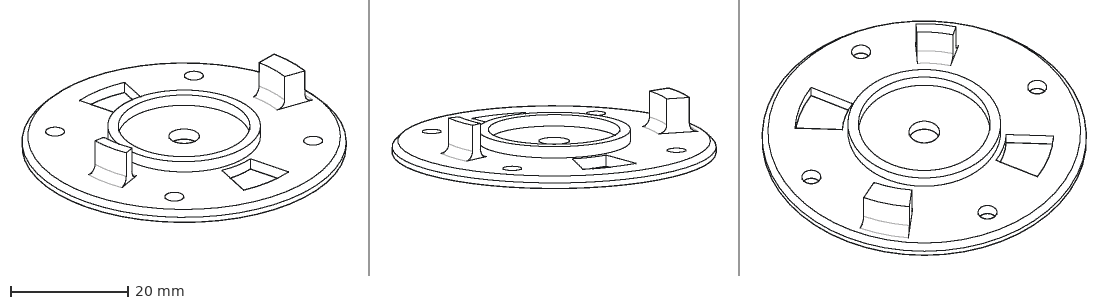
import cadquery as cq
import math

plate_diameter = 55.2
plate_thickness = 2.0
edge_chamfer = 1.0
overall_height = 8.0

ring_outer_diameter = 26.0
ring_inner_diameter = 22.4
ring_height = plate_thickness
bore_diameter = 5.2

screw_hole_diameter = 3.2
screw_circle_radius = 22.0
screw_hole_count = 4
first_screw_angle = 45.0

window_inner_radius = 13.95
window_outer_radius = screw_circle_radius
window_angle = 26.5

tab_split_radius = 20.0
wide_tab_outer_radius = 24.0
narrow_tab_inner_radius = 18.0
wide_tab_angle = 19.3
narrow_tab_angle = 19.8
tab_height = overall_height - plate_thickness
tab_root_fillet = 1.5

PLUS_Y_ANGLE = 90.0
MINUS_Y_ANGLE = 270.0


def polar(radius, angle):
    """Point in the XY plane at an angle in degrees from +X."""
    return (radius * math.cos(math.radians(angle)), radius * math.sin(math.radians(angle)))


def ring_sector(inner_radius, outer_radius, start_angle, sweep, height):
    """Prism over a sector of a ring, standing on Z = 0."""
    middle_angle = start_angle + sweep / 2
    end_angle = start_angle + sweep
    return (
        cq.Workplane("XY")
        .moveTo(*polar(inner_radius, start_angle))
        .lineTo(*polar(outer_radius, start_angle))
        .threePointArc(polar(outer_radius, middle_angle), polar(outer_radius, end_angle))
        .lineTo(*polar(inner_radius, end_angle))
        .threePointArc(polar(inner_radius, middle_angle), polar(inner_radius, start_angle))
        .close()
        .extrude(height)
    )


def tab(inner_radius, outer_radius, start_angle, sweep):
    """Curved upright with concave root fillets on its inner and outer faces."""
    foot_inner = inner_radius - tab_root_fillet
    foot_outer = outer_radius + tab_root_fillet
    fillet_top = plate_thickness + tab_root_fillet
    arc_offset = tab_root_fillet * math.sqrt(0.5)
    arc_middle_z = fillet_top - arc_offset
    profile = (
        cq.Workplane("XZ")
        .moveTo(foot_inner, 0)
        .lineTo(foot_outer, 0)
        .lineTo(foot_outer, plate_thickness)
        .threePointArc((foot_outer - arc_offset, arc_middle_z), (outer_radius, fillet_top))
        .lineTo(outer_radius, plate_thickness + tab_height)
        .lineTo(inner_radius, plate_thickness + tab_height)
        .lineTo(inner_radius, fillet_top)
        .threePointArc((foot_inner + arc_offset, arc_middle_z), (foot_inner, plate_thickness))
        .close()
    )
    upright = profile.revolve(sweep, (0, 0), (0, 1))
    return upright.rotate((0, 0, 0), (0, 0, 1), start_angle)


plate = cq.Workplane("XY").circle(plate_diameter / 2).extrude(plate_thickness)
plate = plate.faces(">Z").edges().chamfer(edge_chamfer)
ring = (
    cq.Workplane("XY", origin=(0, 0, plate_thickness))
    .circle(ring_outer_diameter / 2)
    .circle(ring_inner_diameter / 2)
    .extrude(ring_height)
)
body = plate.union(ring)

wide_tab_start = PLUS_Y_ANGLE - wide_tab_angle / 2
body = body.union(tab(tab_split_radius, wide_tab_outer_radius, wide_tab_start, wide_tab_angle))
body = body.union(tab(narrow_tab_inner_radius, tab_split_radius, MINUS_Y_ANGLE, narrow_tab_angle))

bore = cq.Workplane("XY").circle(bore_diameter / 2).extrude(plate_thickness)
screw_holes = (
    cq.Workplane("XY")
    .polarArray(screw_circle_radius, first_screw_angle, 360, screw_hole_count)
    .circle(screw_hole_diameter / 2)
    .extrude(plate_thickness)
)
body = body.cut(bore).cut(screw_holes)

for window_centre_angle in (0.0, 180.0):
    window_start = window_centre_angle - window_angle / 2
    body = body.cut(
        ring_sector(
            window_inner_radius, window_outer_radius, window_start, window_angle, plate_thickness
        )
    )

result = body